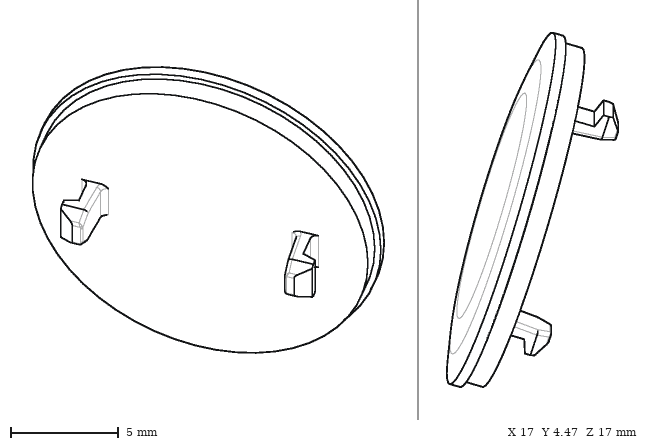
import cadquery as cq
import math

RIM_RADIUS = 8.5
PLUG_RADIUS = 8.2
PLUG_THICKNESS = 1.0
RIM_THICKNESS = 0.5
DOME_HEIGHT = 0.47
DOME_ANGLE = 12.0
DOME_BLEND_RADIUS = 8.0

HOOK_LENGTH = 2.5
HOOK_WIDTH = 2.1
STEM_OUTER_X = 5.48
STEM_INNER_X = 4.76
STEM_DRAFT = 4.3
BARB_X = 6.14
BARB_ROOT_DEPTH = 1.32
BARB_BACK_ANGLE = 20.0
BARB_LEAD_DEPTH = 2.02
TIP_OUTER_X = 5.42
TAPER_DEPTH = 1.83
TAPER_ANGLE = 30.0
ROOT_RADIUS = 0.3
EDGE_RADIUS = 0.2
TIP_RADIUS = 0.1
FOOT_THICKNESS = 0.5
FOOT_REACH = 1.0


def tan_deg(angle):
    return math.tan(math.radians(angle))


def make_cover():
    """Revolve the half section of the cover about the Y axis."""
    rim_back = PLUG_THICKNESS + RIM_THICKNESS
    back = rim_back + DOME_HEIGHT
    flat_corner_radius = RIM_RADIUS - DOME_HEIGHT / tan_deg(DOME_ANGLE)
    blend_length = DOME_BLEND_RADIUS * tan_deg(DOME_ANGLE / 2)
    blend_sweep = math.radians(DOME_ANGLE)
    cone_end = (
        flat_corner_radius + blend_length * math.cos(blend_sweep),
        back - blend_length * math.sin(blend_sweep),
    )
    flat_end = (flat_corner_radius - blend_length, back)
    blend_middle = (
        flat_end[0] + DOME_BLEND_RADIUS * math.sin(blend_sweep / 2),
        back - DOME_BLEND_RADIUS * (1 - math.cos(blend_sweep / 2)),
    )
    return (
        cq.Workplane("XY")
        .moveTo(0, 0)
        .lineTo(PLUG_RADIUS, 0)
        .lineTo(PLUG_RADIUS, PLUG_THICKNESS)
        .lineTo(RIM_RADIUS, PLUG_THICKNESS)
        .lineTo(RIM_RADIUS, rim_back)
        .lineTo(*cone_end)
        .threePointArc(blend_middle, flat_end)
        .lineTo(0, back)
        .close()
        .revolve(360, (0, 0, 0), (0, 1, 0))
    )


def inner_face_x(depth):
    """X of the drafted inner face at a depth in front of the plug."""
    return STEM_INNER_X + depth * tan_deg(STEM_DRAFT)


def make_hook_blank():
    """Right-hand hook with root fillets, standing on a foot buried in the plug."""
    barb_back_depth = BARB_ROOT_DEPTH + (BARB_X - STEM_OUTER_X) * tan_deg(BARB_BACK_ANGLE)
    half_width = HOOK_WIDTH / 2
    tip_half_width = half_width - (HOOK_LENGTH - TAPER_DEPTH) * tan_deg(TAPER_ANGLE)

    inner_turn = math.radians(90 - STEM_DRAFT)
    inner_tangent = ROOT_RADIUS * math.tan(inner_turn / 2)
    inner_root_start = (STEM_INNER_X - inner_tangent, 0)
    inner_root_depth = inner_tangent * math.sin(inner_turn)
    inner_root_middle = (
        inner_root_start[0] + ROOT_RADIUS * math.sin(inner_turn / 2),
        -ROOT_RADIUS * (1 - math.cos(inner_turn / 2)),
    )
    outer_root_middle = (
        STEM_OUTER_X + ROOT_RADIUS * (1 - math.sin(math.pi / 4)),
        -ROOT_RADIUS * (1 - math.cos(math.pi / 4)),
    )

    blank = (
        cq.Workplane("XY")
        .moveTo(STEM_INNER_X - FOOT_REACH, FOOT_THICKNESS)
        .lineTo(STEM_INNER_X - FOOT_REACH, 0)
        .lineTo(*inner_root_start)
        .threePointArc(inner_root_middle, (inner_face_x(inner_root_depth), -inner_root_depth))
        .lineTo(inner_face_x(HOOK_LENGTH), -HOOK_LENGTH)
        .lineTo(TIP_OUTER_X, -HOOK_LENGTH)
        .lineTo(BARB_X, -BARB_LEAD_DEPTH)
        .lineTo(BARB_X, -barb_back_depth)
        .lineTo(STEM_OUTER_X, -BARB_ROOT_DEPTH)
        .lineTo(STEM_OUTER_X, -ROOT_RADIUS)
        .threePointArc(outer_root_middle, (STEM_OUTER_X + ROOT_RADIUS, 0))
        .lineTo(STEM_OUTER_X + ROOT_RADIUS, FOOT_THICKNESS)
        .close()
        .extrude(half_width, both=True)
    )
    width_limits = (
        cq.Workplane("YZ")
        .polyline([
            (FOOT_THICKNESS, -half_width),
            (FOOT_THICKNESS, half_width),
            (-TAPER_DEPTH, half_width),
            (-HOOK_LENGTH, tip_half_width),
            (-HOOK_LENGTH, -tip_half_width),
            (-TAPER_DEPTH, -half_width),
        ])
        .close()
        .extrude(BARB_X)
    )
    return blank.intersect(width_limits)


def make_hook():
    """Round the tip sides, the inner side edges down to the foot, and the inner tip edge."""
    blank = make_hook_blank()
    middle_depth = HOOK_LENGTH / 2
    inner_face = blank.faces(
        cq.selectors.NearestToPointSelector((inner_face_x(middle_depth), -middle_depth, 0))
    )
    inner_side_edges = inner_face.edges("not |Z").vals()
    tip_side_edges = blank.faces("<Y").edges("|X").vals()
    hook = blank.newObject(inner_side_edges + tip_side_edges).fillet(EDGE_RADIUS)
    return hook.faces("<Y").edges("<X").fillet(TIP_RADIUS)


right_hook = make_hook()
left_hook = right_hook.mirror("YZ")
result = make_cover().union(right_hook).union(left_hook)